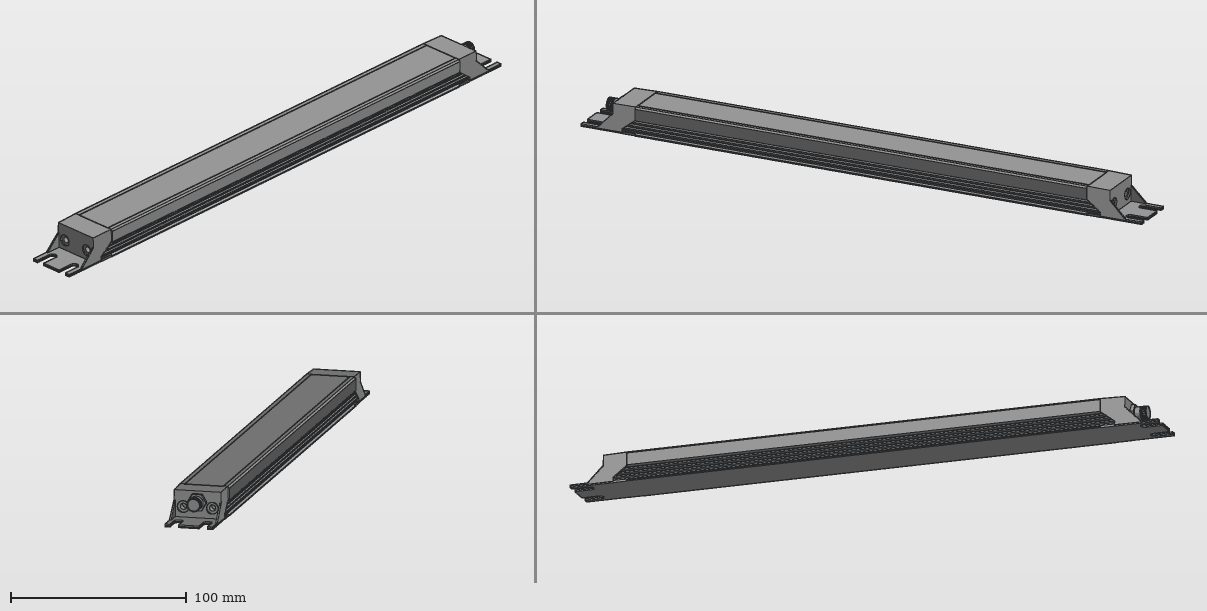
import cadquery as cq

total_length = 355.0
width = 30.0
height = 17.55

profile_top_end = 143.0
profile_foot_end = 151.5
tab_length = 20.0
foot_slope_z = 3.0
half_length = total_length / 2
wall_y = half_length - tab_length

shoulder_z = 9.5
top_chamfer = 1.0
rib_half_width = 14.2
rib_depth = 0.8
rib_crest = 0.8
rib_count = 3
rib_pitch = 2.13
foot_height = 2.35
foot_edge = 0.5
plate_thickness = 0.75
plate_half_width = 14.0
recess_half_width = 11.3
recess_depth = 0.3

cap_half_width = 14.7
cap_top_half_width = 13.95
cap_taper = 1.1
tab_top_z = 1.6
gusset_thickness = 1.6
gusset_top_z = 11.1
slot_x = 8.56
slot_width = 5.0
slot_length = 12.3

screw_x = slot_x
screw_z = 7.6
screw_head_radius = 3.4
screw_head_depth = 1.0
screw_hole_radius = 1.8
screw_hole_depth = 6.0

gland_z = 10.9
hex_across_corners = 11.0
hex_thickness = 2.2
gland_radius = 3.8
neck_length = 3.2
grip_length = 3.8
flute_count = 20
flute_radius = 0.35


def extruded_profile():
    """Ribbed extrusion with its ends cut square above the ribs and sloping across them."""
    half_width = width / 2
    rib_root = rib_half_width - rib_depth
    side = [
        (half_width - foot_edge, 0),
        (half_width, foot_edge),
        (half_width, 2 * foot_edge),
        (rib_root, foot_height - rib_crest),
        (rib_root, foot_height),
    ]
    first_rib_z = foot_height + rib_pitch / 2
    for i in range(rib_count):
        rib_z = first_rib_z + i * rib_pitch
        side.append((rib_half_width, rib_z - rib_crest / 2))
        side.append((rib_half_width, rib_z + rib_crest / 2))
        side.append((rib_root, rib_z + rib_pitch / 2))
    side += [
        (half_width, shoulder_z),
        (half_width, height - top_chamfer),
        (half_width - top_chamfer, height),
        (recess_half_width, height),
        (recess_half_width, height - recess_depth),
    ]
    mirrored = [(-x, z) for x, z in reversed(side)]
    section = cq.Workplane("XZ").polyline(side + mirrored).close()
    bar = section.extrude(half_length, both=True)

    end_right = [
        (profile_foot_end, 0),
        (profile_foot_end, foot_slope_z),
        (profile_top_end, shoulder_z),
        (profile_top_end, height),
    ]
    end_left = [(-y, z) for y, z in reversed(end_right)]
    outline = cq.Workplane("YZ").polyline(end_right + end_left).close().extrude(width, both=True)
    profile = bar.intersect(outline)

    overhang = width / 2 - rib_half_width
    overhang_length = half_length - profile_top_end
    trim_x = rib_half_width + overhang / 2
    trim_y = profile_top_end + overhang_length / 2
    trim = cq.Workplane("XY").box(overhang, overhang_length, height, centered=(True, True, False))
    for x in (-trim_x, trim_x):
        for y in (-trim_y, trim_y):
            profile = profile.cut(trim.translate((x, y, 0)))

    plate = cq.Workplane("XY").box(
        2 * plate_half_width, total_length, plate_thickness, centered=(True, True, False)
    )
    return cut_tab_slots(profile.union(plate))


def cut_tab_slots(body):
    """Cut the slots of both tabs."""
    for x in (-slot_x, slot_x):
        slot = tab_slot(x)
        body = body.cut(slot).cut(slot.rotate((0, 0, 0), (0, 0, 1), 180))
    return body


def end_cap():
    """End cap at the -Y end: tapered box with side gussets, end wall and slotted tab."""
    gusset_foot_y = wall_y + gusset_top_z - tab_top_z
    lower_half_width = 2 * cap_half_width - cap_top_half_width

    section = [
        (-lower_half_width, -height),
        (lower_half_width, -height),
        (cap_top_half_width, height),
        (-cap_top_half_width, height),
    ]
    tapered = (
        cq.Workplane("XZ", origin=(0, -profile_top_end, 0))
        .polyline(section).close().extrude(half_length - profile_top_end, taper=cap_taper)
    )
    outline = [
        (-profile_foot_end, plate_thickness),
        (-profile_foot_end, foot_slope_z),
        (-profile_top_end, shoulder_z),
        (-profile_top_end, height),
        (-wall_y, height),
        (-wall_y, gusset_top_z),
        (-gusset_foot_y, tab_top_z),
        (-half_length, tab_top_z),
        (-half_length, plate_thickness),
    ]
    side_shape = cq.Workplane("YZ").polyline(outline).close().extrude(width, both=True)
    shell = tapered.intersect(side_shape)

    gap_width = 2 * (cap_half_width - gusset_thickness)
    gap = cq.Workplane("XY").box(gap_width, tab_length, height, centered=(True, False, False))
    cap = shell.cut(gap.translate((0, -half_length, tab_top_z)))
    for x in (-screw_x, screw_x):
        cap = cap.cut(screw_hole(x))
    return cut_tab_slots(cap)


def tab_slot(x):
    """Open-ended slot with a round inner end."""
    straight = slot_length - slot_width / 2
    return (
        cq.Workplane("XY", origin=(x, -half_length, 0))
        .moveTo(-slot_width / 2, 0)
        .lineTo(-slot_width / 2, straight)
        .threePointArc((0, slot_length), (slot_width / 2, straight))
        .lineTo(slot_width / 2, 0)
        .close().extrude(tab_top_z)
    )


def screw_hole(x):
    """Counterbored hole going into the end wall."""
    face = cq.Workplane("XZ", origin=(x, -wall_y, screw_z))
    return face.circle(screw_head_radius).extrude(-screw_head_depth).union(
        face.circle(screw_hole_radius).extrude(-screw_hole_depth)
    )


def cable_gland():
    """Hexagon flange, plain neck and fluted grip on the +Y end wall."""
    face = cq.Workplane("XZ", origin=(0, wall_y, gland_z))
    gland = face.polygon(6, hex_across_corners).extrude(-hex_thickness)
    barrel_length = hex_thickness + neck_length + grip_length
    gland = gland.union(face.circle(gland_radius).extrude(-barrel_length))

    grip_start = wall_y + hex_thickness + neck_length
    flutes = (
        cq.Workplane("XZ", origin=(0, grip_start, gland_z))
        .polarArray(gland_radius, 0, 360, flute_count)
        .circle(flute_radius).extrude(-grip_length)
    )
    return gland.cut(flutes)


profile = extruded_profile()
front_cap = end_cap()
rear_cap = front_cap.rotate((0, 0, 0), (0, 0, 1), 180)
gland = cable_gland()

result = cq.Compound.makeCompound([profile.val(), front_cap.val(), rear_cap.val(), gland.val()])